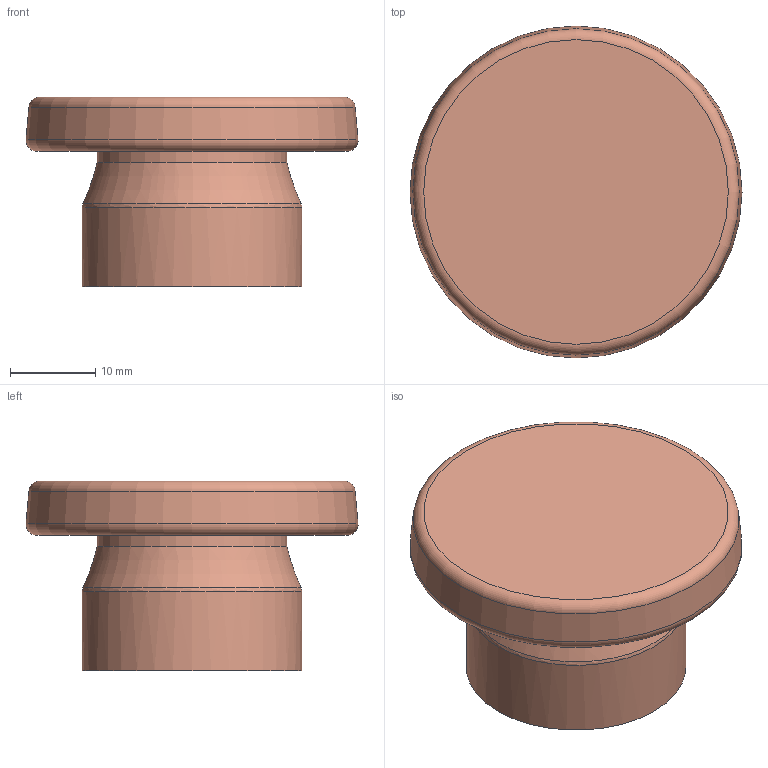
import cadquery as cq
import math

total_height = 22.23
cap_height = 6.35
cap_diameter = 38.9
cap_draft = 5.0
cap_edge_radius = 1.27

base_diameter = 25.76
base_height = 9.525
neck_diameter = 22.23
neck_height = 1.27
flare_radius = 22.23
shoulder_radius = 1.0

cap_bottom = total_height - cap_height
neck_bottom = cap_bottom - neck_height


def make_cap():
    """Drafted disc with rounded top and bottom edges."""
    draft = math.radians(cap_draft)
    corner_setback = cap_edge_radius * math.tan(math.pi / 4 + draft / 2)
    lower_radius = cap_diameter / 2 - cap_edge_radius + corner_setback
    return (
        cq.Workplane("XY")
        .workplane(offset=cap_bottom)
        .circle(lower_radius)
        .extrude(cap_height, taper=cap_draft)
        .edges("%CIRCLE")
        .fillet(cap_edge_radius)
    )


def flare_midpoint(lower, upper):
    """Middle of the concave arc between two profile points (radius, height)."""
    d_radius = upper[0] - lower[0]
    d_height = upper[1] - lower[1]
    chord = math.hypot(d_radius, d_height)
    sagitta = flare_radius - math.sqrt(flare_radius**2 - (chord / 2) ** 2)
    return (
        (lower[0] + upper[0]) / 2 - sagitta * d_height / chord,
        (lower[1] + upper[1]) / 2 + sagitta * d_radius / chord,
    )


def make_stem():
    """Revolved stem with a blended shoulder between base and flare."""
    shoulder = (base_diameter / 2, base_height)
    neck_start = (neck_diameter / 2, neck_bottom)
    profile = (
        cq.Workplane("XZ")
        .lineTo(base_diameter / 2, 0)
        .lineTo(*shoulder)
        .threePointArc(flare_midpoint(shoulder, neck_start), neck_start)
        .lineTo(neck_diameter / 2, cap_bottom)
        .lineTo(0, cap_bottom)
        .close()
    )
    stem = profile.revolve(360, (0, 0, 0), (0, 1, 0))
    shoulder_edge = cq.selectors.BoxSelector(
        (-base_diameter, -base_diameter, base_height - shoulder_radius / 2),
        (base_diameter, base_diameter, base_height + shoulder_radius / 2),
    )
    return stem.edges("%CIRCLE").edges(shoulder_edge).fillet(shoulder_radius)


result = make_stem().union(make_cap())